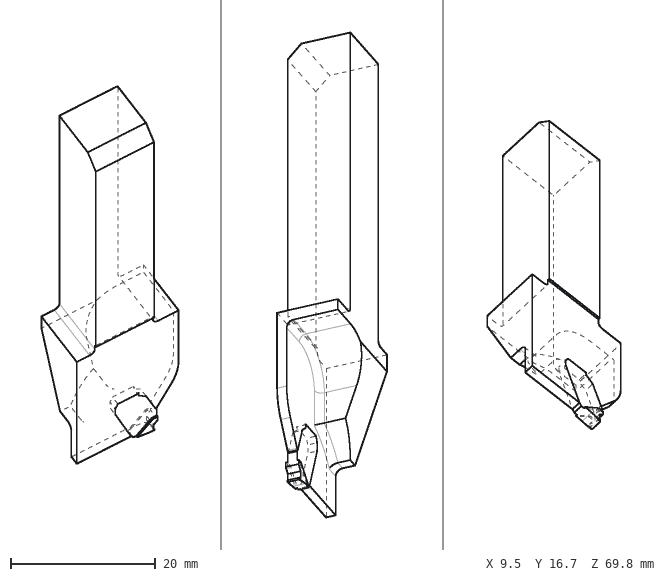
import cadquery as cq
import math

total_height = 69.85
shank_width = 9.5
top_chamfer = 2.1

head_front = -7.7
head_back = 8.95
head_thickness = 9.2
head_top = 24.95
relief_top = 26.6
shoulder_radius = 0.85
blade_face = 7.75
blade_bottom = 1.05
head_arc_radius = 8.4
head_arc_start = 12.9
nose_z = 4.8
seat_lower_y = 1.2
nose_angle = math.radians(31.4)

slope_top = 22.2
slope_bottom = 8.3
slope_depth = 4.8

recess_top = 23.25
recess_wall = -1.4
recess_radius = 6.15
recess_wall_bottom = 12.2
curve_end_y = -6.0
curve_bulge = 0.35
recess_floor_radius = 1.05

tip_face = 7.55
tip_thickness = shank_width - tip_face
tip_top = 2.9
tip_inner_y = 4.55
tip_right_y = 2.0
tip_right_z = 0.55
tip_corner_radius = 0.3


def side_sketch(x):
    """Workplane with local axes (Y, Z), extruding toward +X."""
    return cq.Workplane("YZ", origin=(x, 0, 0))


def make_shank():
    shank = cq.Workplane("XY", origin=(0, -shank_width / 2, head_top)).box(
        shank_width, shank_width, total_height - head_top, centered=False
    )
    relief = (
        cq.Workplane("XY")
        .box(shank_width, 2 * shank_width, 2 * relief_top)
        .translate((head_thickness + shank_width / 2, 0, 0))
    )
    shank = shank.cut(relief)
    return shank.faces(">Z").edges(">X").chamfer(top_chamfer)


def make_head_plate():
    """Head outline at full thickness, with its back edge curving in to the nose."""
    arc_end_y = head_back - head_arc_radius * (1 - math.cos(nose_angle))
    arc_end_z = head_arc_start - head_arc_radius * math.sin(nose_angle)
    arc_mid_y = head_back - head_arc_radius * (1 - math.cos(nose_angle / 2))
    arc_mid_z = head_arc_start - head_arc_radius * math.sin(nose_angle / 2)
    nose_y = arc_end_y - (arc_end_z - nose_z) * math.tan(nose_angle)
    return (
        side_sketch(0)
        .moveTo(head_front, blade_bottom)
        .lineTo(head_front, head_top)
        .lineTo(head_back, head_top)
        .lineTo(head_back, head_arc_start)
        .threePointArc((arc_mid_y, arc_mid_z), (arc_end_y, arc_end_z))
        .lineTo(nose_y, nose_z)
        .lineTo(seat_lower_y, blade_bottom)
        .close()
        .extrude(head_thickness)
    )


def make_slope_cutter():
    return (
        cq.Workplane("XZ", origin=(0, head_back, 0))
        .moveTo(0, slope_top)
        .lineTo(slope_depth, slope_bottom)
        .lineTo(0, slope_bottom)
        .close()
        .extrude(head_back - head_front)
    )


def make_recess_cutter():
    """Recess volume; rounding its floor edge leaves a fillet where wall meets blade."""
    overrun = 3.5
    corner_y = recess_wall + recess_radius
    corner_z = recess_top - recess_radius
    arc_offset = recess_radius * math.sqrt(0.5)
    chord_y = curve_end_y - recess_wall
    chord_z = slope_bottom - recess_wall_bottom
    chord = math.hypot(chord_y, chord_z)
    curve_mid = (
        recess_wall + chord_y / 2 + curve_bulge * chord_z / chord,
        recess_wall_bottom + chord_z / 2 - curve_bulge * chord_y / chord,
    )
    cutter = (
        side_sketch(0)
        .moveTo(head_back + overrun, recess_top)
        .lineTo(corner_y, recess_top)
        .threePointArc((corner_y - arc_offset, corner_z + arc_offset), (recess_wall, corner_z))
        .lineTo(recess_wall, recess_wall_bottom)
        .threePointArc(curve_mid, (curve_end_y, slope_bottom))
        .lineTo(head_front - overrun, slope_bottom)
        .lineTo(head_front - overrun, -overrun)
        .lineTo(head_back + overrun, -overrun)
        .close()
        .extrude(blade_face)
    )
    return cutter.faces(">X").edges().fillet(recess_floor_radius)


def add_shoulder_fillets(holder):
    """Fillet the two inside corners between the shank and the head's top."""
    for side in (-1, 1):
        corner_y = side * shank_width / 2
        outer_y = corner_y + side * shoulder_radius
        mid_offset = shoulder_radius * (1 - math.sqrt(0.5))
        web = (
            side_sketch(0)
            .moveTo(corner_y, head_top)
            .lineTo(outer_y, head_top)
            .threePointArc(
                (corner_y + side * mid_offset, head_top + mid_offset),
                (corner_y, head_top + shoulder_radius),
            )
            .close()
            .extrude(head_thickness)
        )
        holder = holder.union(web)
    return holder


def make_insert_prism(x, thickness):
    """Insert outline: a slanted body with a notched cutting corner."""
    outline = [
        (2.45, 10.2), (-1.0, 10.2), (-1.4, 9.35), (-1.4, 8.0),
        (seat_lower_y, blade_bottom), (1.55, 0.55), (3.15, 0.35), (4.95, 0),
        (4.7, 0.5), (4.7, 1.5), (5.4, 2.25), (5.4, 4.3), (5.1, nose_z),
        (3.6, 8.65), (2.45, 9.65),
    ]
    return side_sketch(x).polyline(outline).close().extrude(thickness)


def make_insert():
    """Insert flush with the blade, widened on both sides at the cutting corner."""
    margin = 2.1
    corner_region = (
        side_sketch(tip_face)
        .moveTo(head_back, tip_top)
        .lineTo(tip_inner_y, tip_top)
        .lineTo(tip_right_y, tip_right_z)
        .lineTo(tip_right_y, -margin)
        .lineTo(head_back, -margin)
        .close()
        .extrude(tip_thickness)
    )
    rounded_section = (
        cq.Workplane("XY", origin=(tip_face, 0, 0))
        .box(tip_thickness, 2 * head_back, 2 * tip_top, centered=(False, True, False))
        .edges("|Y and <Z")
        .fillet(tip_corner_radius)
    )
    body = make_insert_prism(blade_face, head_thickness - blade_face)
    corner = make_insert_prism(tip_face, tip_thickness).intersect(corner_region).intersect(rounded_section)
    return body.union(corner)


insert_seat = make_insert_prism(blade_face, head_thickness - blade_face)
head = make_head_plate().cut(make_slope_cutter()).cut(make_recess_cutter())
holder = add_shoulder_fillets(make_shank().union(head))
holder = holder.cut(insert_seat)
insert = make_insert()

result = cq.Compound.makeCompound([holder.val(), insert.val()])